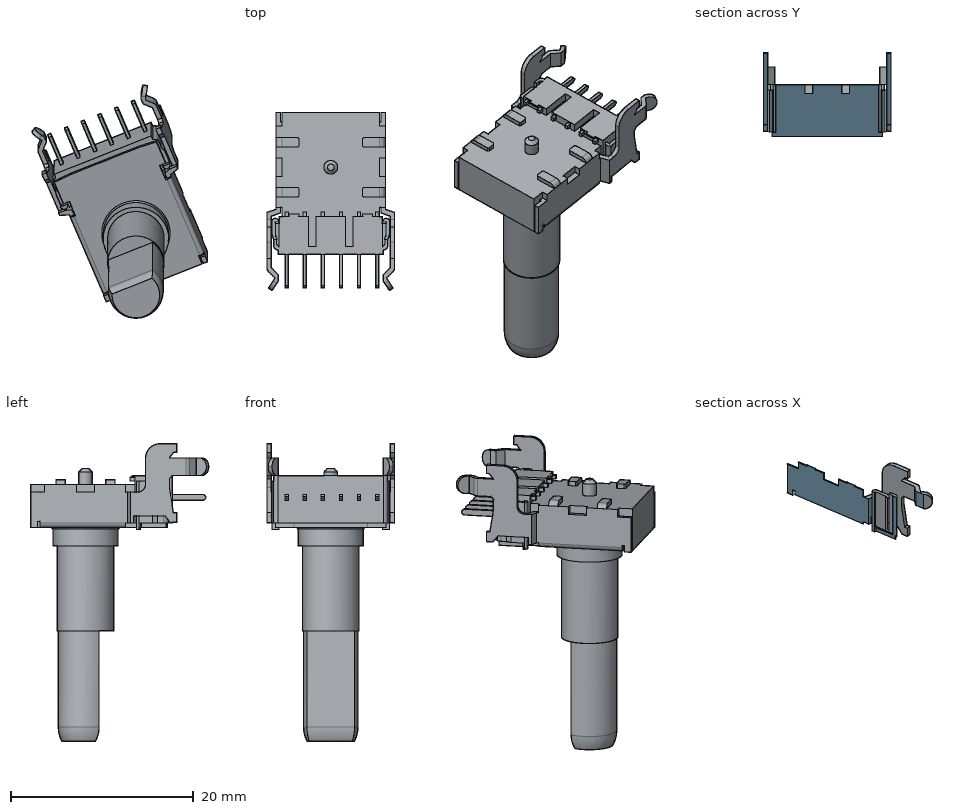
import cadquery as cq
import math


shaft_radius = 3.0
flat_offset = 1.5
bushing_radius = 3.1
flange_radius = 3.58
flange_bottom = -2.0
flange_flare = 0.16
bushing_bottom = -11.3
shaft_bottom = -23.4
nose_length = 1.6
nose_inset = 0.4
nose_arc_radius = (nose_length**2 + nose_inset**2) / (2 * nose_inset)

case_half_width = 6.0
case_rear = 6.0
case_front = -4.4
core_half_width = 5.35
core_front = -5.4
wall_top = 3.9
cover_top = 4.75
sheet = 0.5
case_edge_radius = 0.49
wall_inner = case_half_width - sheet
relief_rear = 5.25
relief_front = 5.0
relief_top = 0.7
cover_notch_spans = [(4.5, relief_front), (-1.0, 1.0)]

tab_width = 1.05
tab_spacing = 5.45
tab_inner_end = 3.45
tab_top = cover_top + sheet
tab_bend_radius = case_half_width - core_half_width
tab_corner = 0.15
pin_radius = 0.75
pin_top = 6.5
pin_tip_height = 0.4
pin_tip_radius = 0.36

block_half_width = 5.65
block_front_half_width = 5.75
block_front = -9.52
block_top = 5.7
ear_half_width = 6.26
ear_rear = -7.9
ear_front = -9.06
ear_inner = -5.95
ear_radius = ear_half_width - block_front_half_width
ear_notch_rear = -8.4
ear_notch_front = -8.7
slot_centre = 2.02
slot_width = 0.82
slot_front = -8.65
bump_centre = 4.03
bump_width = 1.08
bump_length = 0.3
bump_height = 0.2
tongue_half_width = 4.0
plate_half_width = 6.06
plate_rear = -6.15
plate_front = -8.95
plate_front_slope = 0.15

terminal_count = 6
terminal_pitch = 1.98
terminal_shift = 0.13
terminal_width = 0.36
terminal_bottom = 3.0
terminal_height = 0.65
terminal_tip = -13.2
terminal_taper = 0.25
terminal_tip_height = 0.15
stub_rear = -4.87
stub_bottom = 5.1
stub_height = 0.43

bracket_half_width = 7.0
bracket_inner = bracket_half_width - sheet
bracket_rear = -6.56
bracket_top = 9.2
bracket_round = 1.6
bracket_root_round = 0.85
arm_bottom = block_top
arm_top = 7.65
arm_tip = -13.5
arm_corner = 0.95
toe_front = -10.0
toe_bottom = 0.57
toe_top = 1.66
toe_start = -9.27
toe_rear = -9.63
neck = -9.18
neck_bottom = 4.4
neck_chamfer_z = 5.35
beak_bottom = 8.25
beak_rear = -9.67
undercut_rear = -5.25
undercut_front = -8.7
undercut_top = 1.3
jog_outer_rear = -4.6
jog_outer_front = -4.93
jog_inner_rear = -5.0
jog_inner_front = -5.37
arm_bend_rear = -11.0
arm_bend_middle = (-6.955, -11.22)
arm_bend_end = (-6.83, -11.41)
arm_bend_inner = -10.98
arm_crest_inner = -11.79
flap_start = (-5.72, -12.43)
flap_end = (-6.42, arm_tip)

latch_bottom = -0.2
latch_top = 5.1
latch_outer = -6.45
latch_inner = -6.06
latch_rear = -5.57
latch_front = -7.35
latch_tail_shift = 0.2
latch_foot_front = -6.0
latch_bend_top = (-6.05, latch_rear)
latch_bend_inner = (-5.8, -5.68)
latch_bend_outer = (-6.3, -5.65)
latch_bend_end = -5.85


def box(x_range, y_range, z_range):
    """Axis-aligned block between pairs of limits."""
    size = [abs(high - low) for low, high in (x_range, y_range, z_range)]
    corner = [min(limits) for limits in (x_range, y_range, z_range)]
    return cq.Workplane("XY").box(*size, centered=False).translate(tuple(corner))


def both_sides(left):
    """A left-hand feature together with its mirror image."""
    return left.union(left.mirror("YZ"))


def nose_mid(start):
    """Middle of the arc that rounds a side at this distance from the axis in to the nose."""
    half_angle = math.asin(nose_length / nose_arc_radius) / 2
    inset = nose_arc_radius * (1 - math.cos(half_angle))
    drop = nose_arc_radius * math.sin(half_angle)
    return (start - inset, shaft_bottom + nose_length - drop)


def make_shaft():
    """Turned shaft, flattened on its -Y side, with the nose rounded in all round."""
    nose_start = shaft_bottom + nose_length
    turned = (
        cq.Workplane("XZ")
        .lineTo(shaft_radius, 0)
        .lineTo(shaft_radius, nose_start)
        .threePointArc(nose_mid(shaft_radius), (shaft_radius - nose_inset, shaft_bottom))
        .lineTo(0, shaft_bottom)
        .close()
        .revolve(360, (0, 0), (0, 1))
    )
    middle_offset, middle_z = nose_mid(flat_offset)
    flat_side = (
        cq.Workplane("YZ")
        .moveTo(-flat_offset, 0)
        .lineTo(-flat_offset, nose_start)
        .threePointArc((-middle_offset, middle_z), (nose_inset - flat_offset, shaft_bottom))
        .lineTo(shaft_radius, shaft_bottom)
        .lineTo(shaft_radius, 0)
        .close()
        .extrude(shaft_radius, both=True)
    )
    bushing = cq.Workplane("XY").circle(bushing_radius).extrude(bushing_bottom)
    flange = cq.Workplane("XY").circle(flange_radius).extrude(flange_bottom)
    flare = (
        cq.Workplane("XY", origin=(0, 0, -flange_flare))
        .circle(flange_radius)
        .extrude(flange_flare, taper=-45)
    )
    return turned.intersect(flat_side).union(bushing).union(flange).union(flare)


def make_case():
    """Case with bent lower edges, notched cover edges and a narrower core."""
    core = box((-core_half_width, core_half_width), (core_front, case_rear), (0, cover_top))
    case = box((-case_half_width, case_half_width), (case_front, relief_front), (0, cover_top))
    case = case.edges("|Y and <Z").fillet(case_edge_radius)
    for notch_span in cover_notch_spans:
        notch = box((-case_half_width, case_half_width), notch_span, (wall_top, cover_top))
        case = case.cut(notch)
    return case.union(core)


def make_cover_tabs():
    """Four tabs folded over the side edges of the cover."""
    tabs = cq.Workplane("XY")
    for centre in (-tab_spacing / 2, tab_spacing / 2):
        tab = box(
            (-case_half_width, -tab_inner_end),
            (centre - tab_width / 2, centre + tab_width / 2),
            (wall_top, tab_top),
        )
        tab = tab.edges("|Y and <X and >Z").fillet(tab_bend_radius)
        tab = tab.edges("|Z and >X").chamfer(tab_corner)
        tabs = tabs.union(tab)
    return both_sides(tabs)


def make_locating_pin():
    """Pin on the shaft axis with a conical tip."""
    return (
        cq.Workplane("XZ")
        .lineTo(pin_radius, 0)
        .lineTo(pin_radius, pin_top - pin_tip_height)
        .lineTo(pin_tip_radius, pin_top)
        .lineTo(0, pin_top)
        .close()
        .revolve(360, (0, 0), (0, 1))
    )


def make_terminal_block():
    """Moulded block with two slots, side ears, rear bumps and a tongue beneath."""
    block = box((-block_half_width, block_half_width), (block_front, core_front), (sheet, block_top))
    block = block.union(
        box((-block_front_half_width, block_front_half_width), (block_front, ear_front), (sheet, block_top))
    )
    ear = (
        cq.Workplane("XY", origin=(0, 0, sheet))
        .moveTo(-block_half_width, ear_front)
        .lineTo(-block_front_half_width, ear_front)
        .radiusArc((-ear_half_width, ear_front + ear_radius), ear_radius)
        .lineTo(-ear_half_width, ear_rear)
        .lineTo(ear_inner, ear_rear)
        .lineTo(ear_inner, ear_notch_rear)
        .lineTo(-block_half_width, ear_notch_front)
        .close()
        .extrude(block_top - sheet)
    )
    bump = box(
        (-bump_centre - bump_width / 2, -bump_centre + bump_width / 2),
        (core_front, core_front + bump_length),
        (block_top - bump_height, block_top),
    )
    slot = box(
        (-slot_centre - slot_width / 2, -slot_centre + slot_width / 2),
        (slot_front, core_front),
        (cover_top, block_top),
    )
    plate = (
        cq.Workplane("XY")
        .polyline([
            (-plate_half_width, plate_rear),
            (-plate_half_width, plate_front + plate_front_slope),
            (-tongue_half_width, plate_front),
            (tongue_half_width, plate_front),
            (plate_half_width, plate_front + plate_front_slope),
            (plate_half_width, plate_rear),
        ])
        .close()
        .extrude(sheet)
    )
    neck_plate = box((-core_half_width, core_half_width), (plate_rear, core_front), (0, sheet))
    plate = plate.union(neck_plate)
    return block.union(both_sides(ear.union(bump))).cut(both_sides(slot)).union(plate)


def make_terminals():
    """Row of tapered terminals with short stubs at the back of the block."""
    middle = terminal_bottom + terminal_height / 2
    blade = (
        cq.Workplane("YZ")
        .moveTo(block_front + sheet, terminal_bottom)
        .lineTo(terminal_tip + terminal_taper, terminal_bottom)
        .lineTo(terminal_tip, middle - terminal_tip_height / 2)
        .lineTo(terminal_tip, middle + terminal_tip_height / 2)
        .lineTo(terminal_tip + terminal_taper, terminal_bottom + terminal_height)
        .lineTo(block_front + sheet, terminal_bottom + terminal_height)
        .close()
        .extrude(terminal_width / 2, both=True)
    )
    stub = box(
        (-terminal_width / 2, terminal_width / 2),
        (core_front - sheet, stub_rear),
        (stub_bottom, stub_bottom + stub_height),
    )
    terminals = cq.Workplane("XY")
    for index in range(terminal_count):
        x = terminal_shift + (index - (terminal_count - 1) / 2) * terminal_pitch
        terminals = terminals.union(blade.union(stub).translate((x, 0, 0)))
    return terminals


def make_side_bracket():
    """Left side sheet: its folded plan crossed with its flat side outline."""
    flap_run = math.hypot(flap_end[0] - flap_start[0], flap_end[1] - flap_start[1])
    normal_x = sheet * (flap_end[1] - flap_start[1]) / flap_run
    normal_y = sheet * (flap_start[0] - flap_end[0]) / flap_run
    flap_start_outer = (flap_start[0] + normal_x, flap_start[1] + normal_y)
    flap_end_outer = (flap_end[0] + normal_x, flap_end[1] + normal_y)
    crest = flap_start_outer[0]
    crest_rear = arm_bend_end[1] - (crest - arm_bend_end[0])
    plan = (
        cq.Workplane("XY")
        .moveTo(-case_half_width, case_rear)
        .lineTo(-case_half_width, jog_outer_rear)
        .lineTo(-bracket_half_width, jog_outer_front)
        .lineTo(-bracket_half_width, arm_bend_rear)
        .threePointArc(arm_bend_middle, arm_bend_end)
        .lineTo(crest, crest_rear)
        .lineTo(*flap_start_outer)
        .lineTo(*flap_end_outer)
        .lineTo(*flap_end)
        .lineTo(*flap_start)
        .lineTo(flap_start[0], arm_crest_inner)
        .lineTo(-bracket_inner, arm_bend_inner)
        .lineTo(-bracket_inner, jog_inner_front)
        .lineTo(-wall_inner, jog_inner_rear)
        .lineTo(-wall_inner, case_rear)
        .close()
        .extrude(bracket_top)
    )
    diagonal = math.sqrt(0.5)
    round_centre = (bracket_rear - bracket_round, bracket_top - bracket_round)
    root_centre = (bracket_rear + bracket_root_round, wall_top + bracket_root_round)
    side = (
        cq.Workplane("YZ")
        .moveTo(case_rear, 0)
        .lineTo(case_rear, wall_top)
        .lineTo(root_centre[0], wall_top)
        .threePointArc(
            (
                root_centre[0] - bracket_root_round * diagonal,
                root_centre[1] - bracket_root_round * diagonal,
            ),
            (bracket_rear, root_centre[1]),
        )
        .lineTo(bracket_rear, round_centre[1])
        .threePointArc(
            (
                round_centre[0] + bracket_round * diagonal,
                round_centre[1] + bracket_round * diagonal,
            ),
            (round_centre[0], bracket_top),
        )
        .lineTo(toe_front, bracket_top)
        .lineTo(toe_front, beak_bottom)
        .lineTo(beak_rear, beak_bottom)
        .lineTo(neck, arm_top)
        .lineTo(arm_tip, arm_top)
        .lineTo(arm_tip, arm_bottom)
        .lineTo(block_front, arm_bottom)
        .lineTo(neck, neck_chamfer_z)
        .lineTo(neck, neck_bottom)
        .lineTo(toe_rear, toe_top)
        .lineTo(toe_front, toe_top)
        .lineTo(toe_front, toe_bottom)
        .lineTo(toe_start, toe_bottom)
        .lineTo(undercut_front, undercut_top)
        .lineTo(undercut_rear, undercut_top)
        .lineTo(undercut_rear, sheet)
        .lineTo(relief_front, sheet)
        .lineTo(relief_front, relief_top)
        .lineTo(relief_rear, relief_top)
        .lineTo(relief_rear, 0)
        .close()
        .extrude(-bracket_half_width)
    )
    bracket = plan.intersect(side)
    tip_zone = cq.selectors.BoxSelector(
        (-bracket_half_width, arm_tip - sheet, 0),
        (flap_start[0], flap_end_outer[1] + sheet / 4, bracket_top),
    )
    tip_edges = cq.selectors.ParallelDirSelector(cq.Vector(normal_x, normal_y, 0))
    return bracket.edges(tip_zone & tip_edges).fillet(arm_corner)


def make_latch():
    """Left sheet latch bent round from the block to the back of its ear."""
    tail_inner = latch_inner + latch_tail_shift
    plan = (
        cq.Workplane("XY", origin=(0, 0, latch_bottom))
        .moveTo(-block_half_width, latch_foot_front)
        .threePointArc(latch_bend_inner, latch_bend_top)
        .threePointArc(latch_bend_outer, (latch_outer, latch_bend_end))
        .lineTo(latch_outer, latch_front)
        .lineTo(latch_outer + latch_tail_shift, ear_rear)
        .lineTo(tail_inner, ear_rear)
        .lineTo(latch_inner, latch_front)
        .lineTo(latch_inner, latch_foot_front)
        .close()
        .extrude(latch_top - latch_bottom)
    )
    below_arm = box((latch_outer, tail_inner), (ear_rear, latch_foot_front), (latch_bottom, sheet))
    return plan.cut(below_arm)


result = (
    make_shaft()
    .union(make_case())
    .union(make_cover_tabs())
    .union(make_locating_pin())
    .union(make_terminal_block())
    .union(make_terminals())
    .union(both_sides(make_side_bracket()))
    .union(both_sides(make_latch()))
)